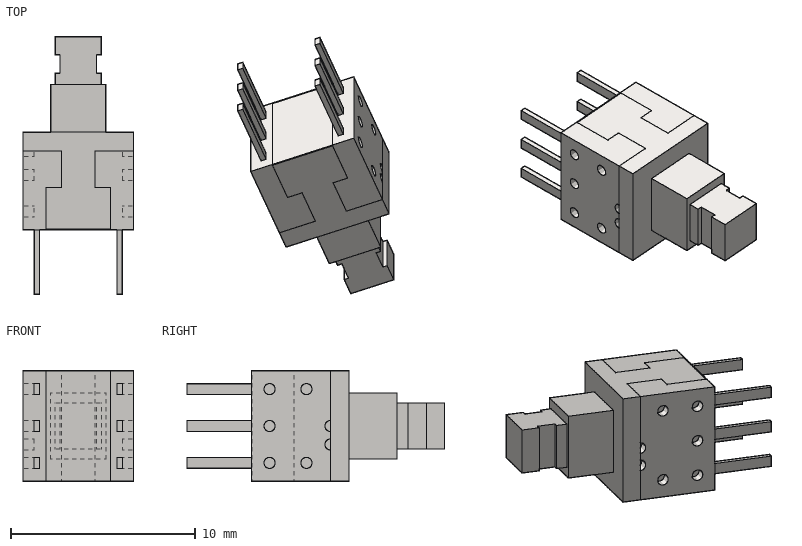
import cadquery as cq


body_width = 6.0
total_length = 14.0

cap_depth = 1.01
web_neck_width = 1.8
web_foot_width = 3.5
web_foot_from_back = 3.0

body_depth = 5.3
base_skin = 0.05
hole_diameter = 0.6
hole_depth = hole_diameter
front_hole_offset = 1.0
rear_hole_offset = 3.0

pin_length = 3.5
pin_width = 0.3
pin_height = 0.6
pin_row_spacing = 4.5
pin_pitch = 2.0

collar_length = 2.6
collar_width = 3.0
collar_height = 3.6
tip_size = 2.5
notch_depth = 0.25
notch_length = 1.0
notch_from_end = 1.0

front_y = pin_length
back_y = front_y + body_depth
cap_front_y = back_y - cap_depth
web_foot_back_y = back_y - web_foot_from_back
collar_back_y = back_y + collar_length
notch_back_y = total_length - notch_from_end
notch_front_y = notch_back_y - notch_length

pin_levels = [-pin_pitch, 0, pin_pitch]
sides = [-1, 1]


def block(width, height, start_y, end_y, x=0, z=0):
    """Box centred on (x, z) that runs from start_y to end_y."""
    return (
        cq.Workplane("XY")
        .box(width, end_y - start_y, height)
        .translate((x, (start_y + end_y) / 2, z))
    )


def make_cover():
    """Cap plate and stepped web, both over the full height."""
    cap = block(body_width, body_width, cap_front_y, back_y)
    neck = block(web_neck_width, body_width, web_foot_back_y, cap_front_y)
    foot = block(web_foot_width, body_width, front_y + base_skin, web_foot_back_y)
    return cap.union(neck).union(foot)


def make_side_holes():
    """Blind round holes sunk into both X sides of the base."""
    places = [(front_y + front_hole_offset, z) for z in pin_levels]
    places += [(front_y + rear_hole_offset, z) for z in (-pin_pitch, pin_pitch)]
    places += [(cap_front_y, z) for z in (-pin_pitch / 2, 0)]

    left_holes = (
        cq.Workplane("YZ", origin=(-body_width / 2, 0, 0))
        .pushPoints(places)
        .circle(hole_diameter / 2)
        .extrude(hole_depth)
    )
    return left_holes.union(left_holes.mirror("YZ"))


def make_base(cover):
    """Two side blocks joined by the front skin, fitted around the web, with six pins."""
    base = block(body_width, body_width, front_y, cap_front_y)
    base = base.cut(cover).cut(make_side_holes())
    for side in sides:
        for level in pin_levels:
            pin_x = side * pin_row_spacing / 2
            base = base.union(block(pin_width, pin_height, 0, front_y, pin_x, level))
    return base


def make_plunger():
    """Collar resting on the cap, and a square tip with a notch in each X side."""
    collar = block(collar_width, collar_height, back_y, collar_back_y)
    tip = block(tip_size, tip_size, collar_back_y, total_length)
    for side in sides:
        notch_x = side * (tip_size - notch_depth) / 2
        tip = tip.cut(block(notch_depth, tip_size, notch_front_y, notch_back_y, notch_x))
    return collar.union(tip)


cover = make_cover()
base = make_base(cover)
plunger = make_plunger()

result = cq.Compound.makeCompound([body.solids().val() for body in (cover, base, plunger)])